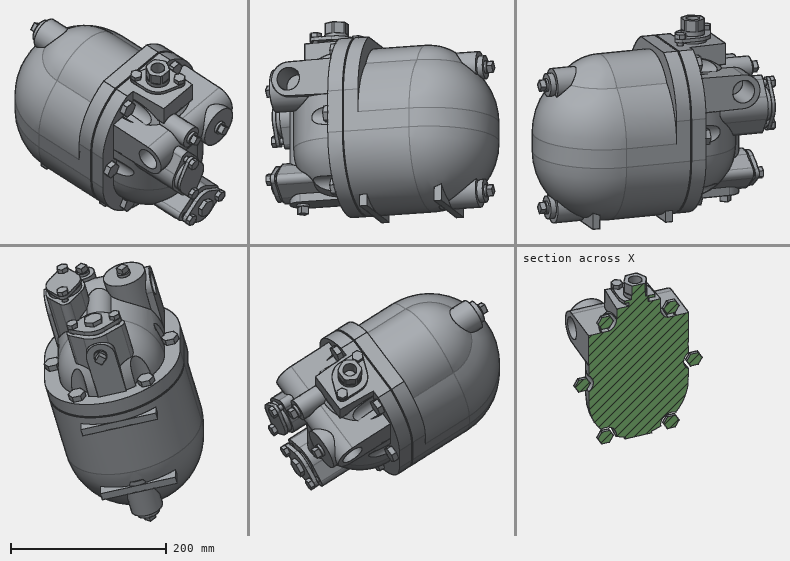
import cadquery as cq
import math

shell_width = 180.5
shell_radius = shell_width / 2
shell_axis_x = shell_radius
shell_side_top_z = 115.0
crown_half_width = 54.5
crown_base_z = shell_side_top_z + math.sqrt(shell_radius**2 - crown_half_width**2)
crown_top_z = 217.0

flange_start_x = 159.0
cover_face_x = 199.7
flange_side_top_z = 145.0
flange_top_z = 225.0
gasket_x = 178.8
gasket_thickness = 1.2
gasket_recess = 1.2

foot_width = 99.8
foot_thickness = 9.7
foot_height = 37.5
foot_starts_x = (59.0, flange_start_x)

plug_collar_diameter = 17.0
plug_square_diagonal = 15.0

end_boss_radius = 21.0
end_boss_face_x = 21.8
end_boss_root_x = 75.0
end_boss_heights = (end_boss_radius, 184.5)
end_ring_diameter = 30.0
end_ring_thickness = 7.5
end_plug_collar = 2.8
end_plug_head = 7.5

cover_radius = 70.0
cover_lower_z = 88.3
cover_upper_z = 147.5
bolt_head_flats = 19.0
bolt_head_height = 7.5
bolt_pocket_radius = 14.7
bolt_places = [(46.0, 207.2), (78.0, 118.0), (46.0, 28.7)]

port_axis_x = 259.0
port_axis_z = 170.0
port_block_radius = 22.5
port_block_root_half = 23.5
port_block_width = 2 * cover_radius
port_diameter = 30.0
port_depth = 43.7

drain_axis_x = 258.3
drain_plug_x = 260.0
drain_boss_radius = 18.7
drain_face_z = cover_lower_z - cover_radius
drain_plug_collar = 2.8
drain_plug_head = 9.0

cover_boss_root_x = 218.5
cover_boss_face_x = 285.8
cover_plug_collar = 3.7
cover_plug_head = 7.5
cover_bosses = [(-16.2, 187.0, 29.0), (38.0, 162.5, 55.0)]

body_lobe_radius = 26.0
body_tip_radius = 8.5
body_tip_offset = 30.0
plate_lobe_radius = 23.0
plate_tip_radius = 7.2
plate_bolt_offset = 28.0
plate_bolt_head_diagonal = 15.0
plate_bolt_head_height = 6.0
plate_bolt_shank_diameter = 8.0

valve_root_x = cover_face_x
upper_valve_y = -37.8
upper_valve_z = 142.3
upper_valve_face_x = 295.0
upper_valve_spacer_diameter = 44.0
upper_valve_gap = 6.2
upper_valve_plate = 4.7
lower_valve_y = 0.0
lower_valve_z = 48.0
lower_valve_tilt = 3.5
lower_valve_face_x = 284.5
lower_valve_spacer_diameter = 36.0
lower_valve_gap = 3.5
lower_valve_plate = 5.5
lower_plug_diagonal = 25.0

vent_block_root_half = 31.0
vent_block_end_half = 28.0
vent_block_end_x = 249.5
vent_block_underside_z = 197.0
vent_axis_x = 215.0
vent_angle = 34.8
vent_spacer_diameter = 36.0
vent_gap = 4.7
vent_plate = 4.7
vent_collar_diameter = 30.5
vent_collar_height = 6.0
vent_nut_flats = 27.8
vent_nut_height = 14.7
vent_bore_diameter = 17.5
vent_bore_depth = 21.8


def facing_x(x, y, z):
    """Plane looking along +X, with local axes Y and Z."""
    return cq.Plane(origin=(x, y, z), xDir=(0, 1, 0), normal=(1, 0, 0))


def cylinder(plane, diameter, length):
    return cq.Workplane(plane).circle(diameter / 2).extrude(length)


def prism(plane, sides, diagonal, length, turn=0):
    """Regular prism with a corner on the plane's local X axis, turned by an angle in degrees."""
    return cq.Workplane(plane.rotated((0, 0, turn))).polygon(sides, diagonal).extrude(length)


def square_plug(plane, collar_height, head_height):
    collar = cylinder(plane, plug_collar_diameter, collar_height)
    return collar.union(prism(plane, 4, plug_square_diagonal, collar_height + head_height))


def lozenge(plane, lobe_radius, tip_radius, tip_offset, length):
    """Lozenge plate whose two rounded tips lie on the plane's local X axis."""
    tangent_cos = (lobe_radius - tip_radius) / tip_offset
    tangent_sin = math.sqrt(1 - tangent_cos**2)
    lobe_x = lobe_radius * tangent_cos
    lobe_y = lobe_radius * tangent_sin
    tip_x = tip_offset + tip_radius * tangent_cos
    tip_y = tip_radius * tangent_sin
    tip_end = tip_offset + tip_radius
    return (
        cq.Workplane(plane)
        .moveTo(lobe_x, lobe_y)
        .threePointArc((0, lobe_radius), (-lobe_x, lobe_y))
        .lineTo(-tip_x, tip_y)
        .threePointArc((-tip_end, 0), (-tip_x, -tip_y))
        .lineTo(-lobe_x, -lobe_y)
        .threePointArc((0, -lobe_radius), (lobe_x, -lobe_y))
        .lineTo(tip_x, -tip_y)
        .threePointArc((tip_end, 0), (tip_x, tip_y))
        .close()
        .extrude(length)
    )


def bolted_plate(plane, spacer_diameter, gap, thickness, head_turn):
    """Spacer disc, lozenge plate and two hexagon bolts, with the tips on the local X axis."""
    part = cylinder(plane, spacer_diameter, gap + thickness)
    plate_plane = cq.Plane(plane.toWorldCoords((0, 0, gap)), plane.xDir, plane.zDir)
    part = part.union(lozenge(plate_plane, plate_lobe_radius, plate_tip_radius, plate_bolt_offset, thickness))
    for side in (-1, 1):
        seat = cq.Plane(plane.toWorldCoords((side * plate_bolt_offset, 0, 0)), plane.xDir, plane.zDir)
        head_base = cq.Plane(seat.toWorldCoords((0, 0, gap + thickness)), plane.xDir, plane.zDir)
        part = part.union(cylinder(seat, plate_bolt_shank_diameter, gap + thickness))
        part = part.union(prism(head_base, 6, plate_bolt_head_diagonal, plate_bolt_head_height, head_turn))
    return part


def half_shell_profile(plane):
    """Right half of the vessel section, closed along the vertical centreline."""
    diagonal = shell_radius * math.sqrt(0.5)
    side_angle = math.acos(crown_half_width / shell_radius) / 2
    crown_rise = crown_top_z - crown_base_z
    crown_radius = (crown_half_width**2 + crown_rise**2) / (2 * crown_rise)
    crown_angle = math.asin(crown_half_width / crown_radius) / 2
    crown_mid = (
        crown_radius * math.sin(crown_angle),
        crown_top_z - crown_radius * (1 - math.cos(crown_angle)),
    )
    side_mid = (
        shell_radius * math.cos(side_angle),
        shell_side_top_z + shell_radius * math.sin(side_angle),
    )
    return (
        cq.Workplane(plane)
        .threePointArc((diagonal, shell_radius - diagonal), (shell_radius, shell_radius))
        .lineTo(shell_radius, shell_side_top_z)
        .threePointArc(side_mid, (crown_half_width, crown_base_z))
        .threePointArc(crown_mid, (0, crown_top_z))
        .close()
    )


def make_shell():
    """Straight barrel along X closed by a dome turned about a vertical axis."""
    section_plane = facing_x(shell_axis_x, 0, 0)
    dome = half_shell_profile(section_plane).revolve(360, (0, 0, 0), (0, 1, 0))
    half_barrel = half_shell_profile(section_plane).extrude(flange_start_x - shell_axis_x)
    return dome.union(half_barrel).union(half_barrel.mirror("XZ"))


def flange_slab(start_x, length, inset):
    """Round-ended slab with a flat top, its outline set in by the given amount."""
    radius = shell_radius - inset
    top_z = flange_top_z - inset
    top_half_width = math.sqrt(radius**2 - (top_z - flange_side_top_z)**2)
    arc_angle = math.acos(top_half_width / radius) / 2
    mid_y = radius * math.cos(arc_angle)
    mid_z = flange_side_top_z + radius * math.sin(arc_angle)
    return (
        cq.Workplane(facing_x(start_x, 0, 0))
        .moveTo(-radius, shell_radius)
        .threePointArc((0, inset), (radius, shell_radius))
        .lineTo(radius, flange_side_top_z)
        .threePointArc((mid_y, mid_z), (top_half_width, top_z))
        .lineTo(-top_half_width, top_z)
        .threePointArc((-mid_y, mid_z), (-radius, flange_side_top_z))
        .close()
        .extrude(length)
    )


def make_flanges():
    """Vessel and cover flanges separated by a narrow recessed gasket."""
    gasket_end_x = gasket_x + gasket_thickness
    vessel_flange = flange_slab(flange_start_x, gasket_x - flange_start_x, 0)
    gasket = flange_slab(gasket_x, gasket_thickness, gasket_recess)
    cover_flange = flange_slab(gasket_end_x, cover_face_x - gasket_end_x, 0)
    return vessel_flange.union(gasket).union(cover_flange)


def make_feet():
    feet = cq.Workplane()
    for start_x in foot_starts_x:
        foot = cq.Workplane().box(foot_thickness, foot_width, foot_height, centered=(False, True, False))
        feet = feet.add(foot.translate((start_x, 0, 0)))
    return feet.combine()


def make_end_boss(height):
    """Boss on the domed end with a ring and a square plug pointing along -X."""
    boss_plane = facing_x(end_boss_face_x, 0, height)
    boss = cylinder(boss_plane, 2 * end_boss_radius, end_boss_root_x - end_boss_face_x)
    ring_face_x = end_boss_face_x - end_ring_thickness
    ring = cylinder(facing_x(ring_face_x, 0, height), end_ring_diameter, end_boss_root_x - ring_face_x)
    plug_plane = cq.Plane(origin=(ring_face_x, 0, height), xDir=(0, 1, 0), normal=(-1, 0, 0))
    return boss.union(ring).union(square_plug(plug_plane, end_plug_collar, end_plug_head))


def make_cover_dome():
    """Stadium-shaped dome relieved by a round pocket around every flange bolt."""
    dome = cq.Workplane().cylinder(
        cover_upper_z - cover_lower_z, cover_radius, centered=(True, True, False)
    ).translate((cover_face_x, 0, cover_lower_z))
    for height in (cover_lower_z, cover_upper_z):
        dome = dome.union(cq.Workplane().sphere(cover_radius).translate((cover_face_x, 0, height)))
    behind_face = cq.Workplane().box(
        2 * cover_radius, 4 * cover_radius, 2 * flange_top_z, centered=(False, True, True)
    ).translate((cover_face_x - 2 * cover_radius, 0, 0))
    dome = dome.cut(behind_face)
    for y, z in bolt_places:
        for side in (-1, 1):
            seat = facing_x(cover_face_x, side * y, z)
            dome = dome.cut(cylinder(seat, 2 * bolt_pocket_radius, cover_radius))
    return dome


def make_flange_bolts():
    diagonal = bolt_head_flats / math.cos(math.pi / 6)
    heads = cq.Workplane()
    for y, z in bolt_places:
        for side in (-1, 1):
            heads = heads.add(prism(facing_x(cover_face_x, side * y, z), 6, diagonal, bolt_head_height))
    return heads.combine()


def round_ended_block(plane, axis_distance, radius, root_half, length):
    """Block running from the cover face to a full-round end, seen along the plane's normal."""
    return (
        cq.Workplane(plane)
        .moveTo(-axis_distance, -root_half)
        .lineTo(0, -radius)
        .threePointArc((radius, 0), (0, radius))
        .lineTo(-axis_distance, root_half)
        .close()
        .extrude(length)
    )


def make_port_block():
    """Cross block without its ports."""
    plane = cq.Plane(
        origin=(port_axis_x, port_block_width / 2, port_axis_z), xDir=(1, 0, 0), normal=(0, -1, 0)
    )
    return round_ended_block(
        plane, port_axis_x - cover_face_x, port_block_radius, port_block_root_half, port_block_width
    )


def make_port_bore(side):
    plane = cq.Plane(
        origin=(port_axis_x, side * port_block_width / 2, port_axis_z), xDir=(1, 0, 0), normal=(0, -side, 0)
    )
    return cylinder(plane, port_diameter, port_depth)


def make_drain():
    """Upright boss from the underside to the cross block, with a plug pointing down."""
    boss_plane = cq.Plane(origin=(drain_axis_x, 0, drain_face_z), xDir=(1, 0, 0), normal=(0, 0, 1))
    boss = round_ended_block(
        boss_plane,
        drain_axis_x - cover_face_x,
        drain_boss_radius,
        drain_boss_radius,
        port_axis_z - drain_face_z,
    )
    plug_plane = cq.Plane(origin=(drain_plug_x, 0, drain_face_z), xDir=(1, 0, 0), normal=(0, 0, -1))
    return boss.union(square_plug(plug_plane, drain_plug_collar, drain_plug_head))


def make_cover_boss(y, z, diameter):
    boss = cylinder(facing_x(cover_boss_root_x, y, z), diameter, cover_boss_face_x - cover_boss_root_x)
    return boss.union(square_plug(facing_x(cover_boss_face_x, y, z), cover_plug_collar, cover_plug_head))


def valve_body(y, z, face_x, turn):
    plane = facing_x(valve_root_x, y, z).rotated((0, 0, turn))
    return lozenge(plane, body_lobe_radius, body_tip_radius, body_tip_offset, face_x - valve_root_x)


def make_upper_valve():
    """Valve body with its long axis upright."""
    body = valve_body(upper_valve_y, upper_valve_z, upper_valve_face_x, 90)
    face = facing_x(upper_valve_face_x, upper_valve_y, upper_valve_z).rotated((0, 0, 90))
    return body.union(bolted_plate(face, upper_valve_spacer_diameter, upper_valve_gap, upper_valve_plate, 0))


def make_lower_valve():
    """Valve body with its long axis nearly level and a large hexagon plug in its plate."""
    body = valve_body(lower_valve_y, lower_valve_z, lower_valve_face_x, -lower_valve_tilt)
    face = facing_x(lower_valve_face_x, lower_valve_y, lower_valve_z)
    plate = bolted_plate(face, lower_valve_spacer_diameter, lower_valve_gap, lower_valve_plate, 90)
    plug_length = lower_valve_gap + lower_valve_plate + plate_bolt_head_height
    return body.union(plate).union(prism(face, 6, lower_plug_diagonal, plug_length, 90))


def make_vent():
    """Block behind the cover flange carrying a bolted plate and a bored hexagon nut."""
    block_corners = [
        (cover_face_x, -vent_block_root_half),
        (vent_block_end_x, -vent_block_end_half),
        (vent_block_end_x, vent_block_end_half),
        (cover_face_x, vent_block_root_half),
    ]
    block = (
        cq.Workplane(origin=(0, 0, vent_block_underside_z))
        .polyline(block_corners)
        .close()
        .extrude(flange_top_z - vent_block_underside_z)
    )
    seat = cq.Plane(origin=(vent_axis_x, 0, flange_top_z), xDir=(1, 0, 0), normal=(0, 0, 1))
    turned_seat = seat.rotated((0, 0, vent_angle))
    plate = bolted_plate(turned_seat, vent_spacer_diameter, vent_gap, vent_plate, -vent_angle)
    nut_base = vent_gap + vent_plate + vent_collar_height
    collar = cylinder(seat, vent_collar_diameter, nut_base)
    nut_diagonal = vent_nut_flats / math.cos(math.pi / 6)
    nut = prism(seat, 6, nut_diagonal, nut_base + vent_nut_height, 90)
    nut = nut.intersect(cylinder(seat, vent_collar_diameter, nut_base + vent_nut_height))
    bore_plane = cq.Plane(
        origin=seat.toWorldCoords((0, 0, nut_base + vent_nut_height)), xDir=(1, 0, 0), normal=(0, 0, -1)
    )
    bore = cylinder(bore_plane, vent_bore_diameter, vent_bore_depth)
    return block.union(plate).union(collar).union(nut).cut(bore)


result = make_shell().union(make_flanges()).union(make_feet())
for boss_height in end_boss_heights:
    result = result.union(make_end_boss(boss_height))
result = result.union(make_cover_dome()).union(make_flange_bolts()).union(make_port_block())
result = result.union(make_drain()).union(make_upper_valve()).union(make_lower_valve()).union(make_vent())
for boss_y, boss_z, boss_diameter in cover_bosses:
    result = result.union(make_cover_boss(boss_y, boss_z, boss_diameter))
for port_side in (-1, 1):
    result = result.cut(make_port_bore(port_side))